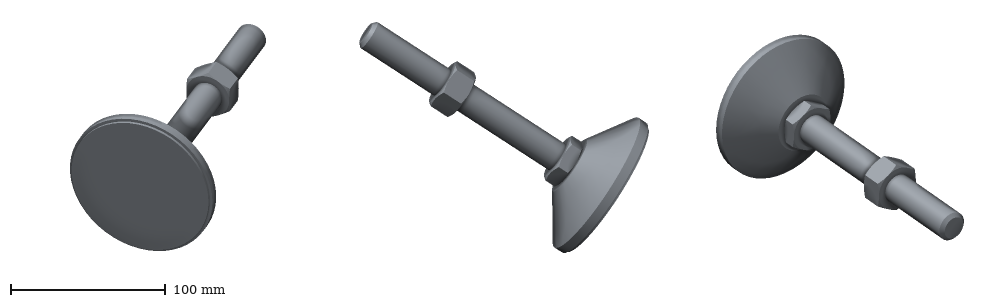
import cadquery as cq
import math

total_length = 189.0

rim_diameter = 100.0
pad_diameter = 96.0
pad_height = 1.9
rim_top = 8.1
foot_height = 29.1
cone_top_diameter = 40.0

rod_diameter = 20.0
rod_chamfer = 2.5

across_flats = 30.0
across_corners = across_flats / math.cos(math.pi / 6)
nut_chamfer_angle = 30.0
fixed_nut_height = 9.8
lock_nut_height = 16.0
lock_nut_start = 113.0


def revolve_profile(points):
    """Revolve a closed (radius, height) outline about the Y axis."""
    return cq.Workplane("XY").polyline(points).close().revolve(360, (0, 0), (0, 1))


def make_foot():
    return revolve_profile([
        (0, 0),
        (pad_diameter / 2, 0),
        (pad_diameter / 2, pad_height),
        (rim_diameter / 2, pad_height),
        (rim_diameter / 2, rim_top),
        (cone_top_diameter / 2, foot_height),
        (0, foot_height),
    ])


def make_rod():
    radius = rod_diameter / 2
    return revolve_profile([
        (0, 0),
        (radius, 0),
        (radius, total_length - rod_chamfer),
        (radius - rod_chamfer, total_length),
        (0, total_length),
    ])


def make_nut(start, height):
    """Hexagon nut with corners on +Z and -Z, chamfered at both ends."""
    face_radius = across_flats / 2
    corner_radius = across_corners / 2
    chamfer_depth = (corner_radius - face_radius) * math.tan(math.radians(nut_chamfer_angle))
    end = start + height
    hexagon = (
        cq.Workplane("XZ", origin=(0, start, 0))
        .transformed(rotate=(0, 0, 90))
        .polygon(6, across_corners)
        .extrude(-height)
    )
    chamfer_envelope = revolve_profile([
        (0, start),
        (face_radius, start),
        (corner_radius, start + chamfer_depth),
        (corner_radius, end - chamfer_depth),
        (face_radius, end),
        (0, end),
    ])
    return hexagon.intersect(chamfer_envelope)


fixed_nut = make_nut(foot_height, fixed_nut_height)
lock_nut = make_nut(lock_nut_start, lock_nut_height)
result = make_foot().union(make_rod()).union(fixed_nut).union(lock_nut)